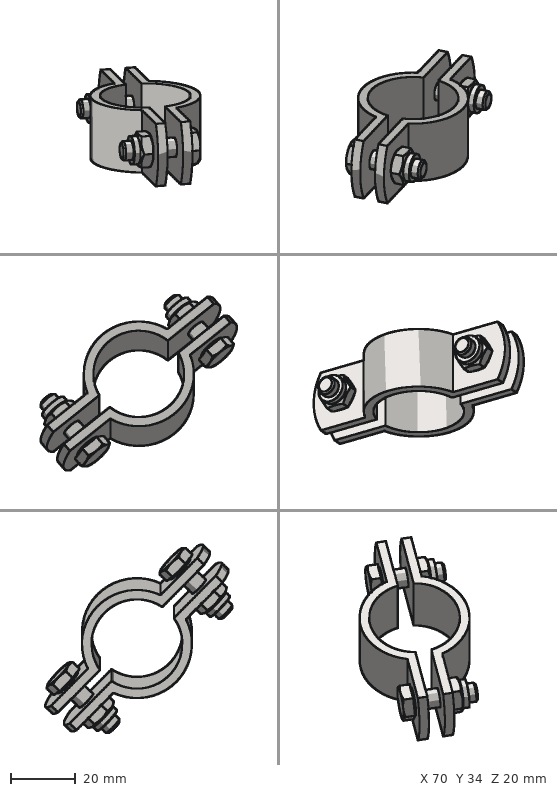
import cadquery as cq
import math

length = 70.0
width = 20.0
plate = 3.0
gap = 5.0
outer_radius = 17.0
inner_radius = outer_radius - plate
ear_bulge = 2.65
bolt_spacing = 50.0

shank_diameter = 6.0
hex_flats = 10.0
hex_corners = hex_flats / math.cos(math.pi / 6)
bevel_angle = 30.0
head_height = 3.5
washer_face_diameter = 8.9
washer_face_height = 0.5
nut_height = 4.05
nut_seat_diameter = 9.5
collar_diameter = 8.9
collar_height = 1.9
tip_projection = 3.0
tip_chamfer = 0.6

ear_inner = gap / 2
ear_outer = ear_inner + plate
head_base = ear_outer + washer_face_height
tip = ear_outer + nut_height + collar_height + tip_projection
bolt_positions = (-bolt_spacing / 2, bolt_spacing / 2)


def cylinder_y(diameter, start, height, x=0):
    """Cylinder along +Y from y = start."""
    base = cq.Workplane("XZ", origin=(x, start, 0))
    return base.circle(diameter / 2).extrude(-height)


def hexagon_y(start, height):
    """Hexagonal prism along +Y with two corners on the X axis."""
    base = cq.Workplane("XZ", origin=(0, start, 0))
    return base.polygon(6, hex_corners).extrude(-height)


def bevelled_hexagon(start, height, start_diameter, end_diameter):
    """Hexagonal prism with corners bevelled at each end down to the given flat diameter."""
    reach = hex_flats
    slope = math.tan(math.radians(bevel_angle))
    end = start + height
    start_radius = start_diameter / 2
    end_radius = end_diameter / 2
    envelope = (
        cq.Workplane("XY")
        .moveTo(0, start)
        .lineTo(start_radius, start)
        .lineTo(reach, start + (reach - start_radius) * slope)
        .lineTo(reach, start + height / 2)
        .lineTo(reach, end - (reach - end_radius) * slope)
        .lineTo(end_radius, end)
        .lineTo(0, end)
        .close()
        .revolve(360, (0, 0, 0), (0, 1, 0))
    )
    return hexagon_y(start, height).intersect(envelope)


def make_ear_outline():
    """Prism along Y, spanning the whole clamp, whose X ends are shallow arcs."""
    corner_x = length / 2 - ear_bulge
    half_width = width / 2
    outline = (
        cq.Workplane("XZ", origin=(0, -outer_radius, 0))
        .moveTo(-corner_x, -half_width)
        .lineTo(corner_x, -half_width)
        .threePointArc((length / 2, 0), (corner_x, half_width))
        .lineTo(-corner_x, half_width)
        .threePointArc((-length / 2, 0), (-corner_x, -half_width))
        .close()
    )
    return outline.extrude(-2 * outer_radius)


def block(x_size, y_start, y_end):
    """Full-width block centred on X and Z between two Y positions."""
    return cq.Workplane("XY").box(x_size, y_end - y_start, width).translate((0, (y_start + y_end) / 2, 0))


def make_clamp_half(side):
    """Bowed strap with two drilled ears; side is +1 for the +Y half and -1 for the -Y half."""
    ring = cq.Workplane("XY").circle(outer_radius).extrude(width / 2, both=True)
    bore = cq.Workplane("XY").circle(inner_radius).extrude(width / 2, both=True)
    bow = ring.intersect(block(length, ear_inner, outer_radius))
    half = block(length, ear_inner, ear_outer).intersect(make_ear_outline()).union(bow).cut(bore)
    for x in bolt_positions:
        half = half.cut(cylinder_y(shank_diameter, ear_inner, plate, x))
    if side < 0:
        half = half.mirror("XZ")
    return half


def make_bolt(x):
    """Hexagon bolt with its head on the +Y ear and its chamfered tip toward -Y."""
    shank = cylinder_y(shank_diameter, -tip, tip + head_base).faces("<Y").chamfer(tip_chamfer)
    washer_face = cylinder_y(washer_face_diameter, ear_outer, washer_face_height)
    hexagon = bevelled_hexagon(head_base, head_height, hex_corners, hex_flats)
    return hexagon.union(washer_face).union(shank).translate((x, 0, 0))


def make_nut(x):
    """Collared hexagon nut seated on the -Y ear."""
    nut_end = -ear_outer - nut_height
    hexagon = bevelled_hexagon(nut_end, nut_height, collar_diameter, nut_seat_diameter)
    collar = cylinder_y(collar_diameter, nut_end - collar_height, collar_height)
    hole = cylinder_y(shank_diameter, -tip, tip)
    return hexagon.union(collar).cut(hole).translate((x, 0, 0))


clamp_halves = [make_clamp_half(side) for side in (1, -1)]
bolts = [make_bolt(x) for x in bolt_positions]
nuts = [make_nut(x) for x in bolt_positions]

result = cq.Compound.makeCompound([body.val() for body in clamp_halves + bolts + nuts])